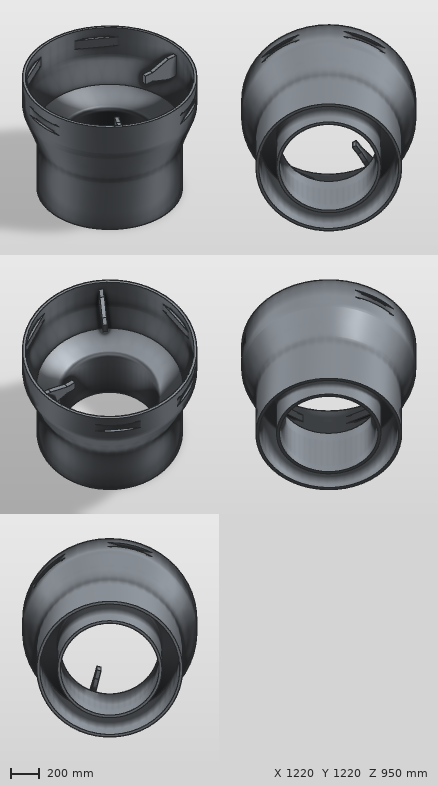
import cadquery as cq
import math

total_height = 950.0
rim_radius = 610.0
base_radius = 510.0
wall = 20.1
shell_slope = 20.0
inside_bend_radius = 137.0
lower_bend_start = 396.0

place_angle = 60.0
dent_places = [0, 2, 3, 4]
fin_places = [1, 5]
dent_half_angle = 15.0
dent_bottom = 799.0
dent_top = 872.0

funnel_tube_diameter = 730.0
funnel_bore_radius = funnel_tube_diameter / 2 - wall
funnel_slope = 28.0
funnel_lip_radius = 45.0
funnel_lip_bottom = 399.0
funnel_edge_radius = 515.0

fin_thickness = 30.0
fin_tip_radius = 311.0
fin_inner_kink = 377.0
fin_outer_kink = 520.0
fin_tip_bottom = 748.0
fin_tip_top = 822.0
fin_root_bottom = 699.0
fin_root_top = dent_top


def polar(center, radius, degrees):
    """Point at an angle around a center in the radius-height plane."""
    angle = math.radians(degrees)
    return (center[0] + radius * math.cos(angle), center[1] + radius * math.sin(angle))


outside_bend_radius = inside_bend_radius + wall
slope = math.radians(shell_slope)
bend_spread = (inside_bend_radius + outside_bend_radius) * (1 - math.cos(slope))
cone_height = (rim_radius - base_radius - bend_spread) / math.tan(slope)
upper_bend_end = (
    lower_bend_start + cone_height + (inside_bend_radius + outside_bend_radius) * math.sin(slope)
)
lower_bend_center = (base_radius + inside_bend_radius, lower_bend_start)
upper_bend_center = (rim_radius - outside_bend_radius, upper_bend_end)


def revolved_shell_surface(inset):
    """Solid of revolution bounded by the shell's outer surface moved inward."""
    lower_radius = inside_bend_radius + inset
    upper_radius = outside_bend_radius - inset
    return (
        cq.Workplane("XZ")
        .moveTo(0, 0)
        .lineTo(base_radius - inset, 0)
        .lineTo(base_radius - inset, lower_bend_start)
        .threePointArc(
            polar(lower_bend_center, lower_radius, 180 - shell_slope / 2),
            polar(lower_bend_center, lower_radius, 180 - shell_slope),
        )
        .lineTo(*polar(upper_bend_center, upper_radius, -shell_slope))
        .threePointArc(
            polar(upper_bend_center, upper_radius, -shell_slope / 2),
            (rim_radius - inset, upper_bend_end),
        )
        .lineTo(rim_radius - inset, total_height)
        .lineTo(0, total_height)
        .close()
        .revolve(360, (0, 0), (0, 1))
    )


def rim_segment(radius, place):
    """Circular segment between the rim cylinder and the chord across a dent."""
    start = polar((0, 0), radius, -dent_half_angle)
    end = polar((0, 0), radius, dent_half_angle)
    return (
        cq.Workplane("XY", origin=(0, 0, dent_bottom))
        .moveTo(*start)
        .threePointArc((radius, 0), end)
        .close()
        .extrude(dent_top - dent_bottom)
        .rotate((0, 0, 0), (0, 0, 1), place * place_angle)
    )


def make_shell(cavity):
    """Thin shell whose wall follows a chord at each dent."""
    shell = revolved_shell_surface(0).cut(cavity)
    for place in dent_places:
        shell = shell.union(rim_segment(rim_radius - wall, place))
        shell = shell.cut(rim_segment(rim_radius, place))
    return shell


def make_funnel(cavity):
    """Sheet funnel with a rounded lip, trimmed to the shell's inner surface."""
    lip_center = (funnel_bore_radius + funnel_lip_radius, funnel_lip_bottom)
    under_radius = funnel_lip_radius - wall
    lip_end_angle = 90 + funnel_slope
    lip_mid_angle = (180 + lip_end_angle) / 2
    top_end = polar(lip_center, funnel_lip_radius, lip_end_angle)
    under_end = polar(lip_center, under_radius, lip_end_angle)
    incline = math.tan(math.radians(funnel_slope))
    edge_top = top_end[1] + (funnel_edge_radius - top_end[0]) * incline
    under_edge_height = under_end[1] + (funnel_edge_radius - under_end[0]) * incline
    funnel = (
        cq.Workplane("XZ")
        .moveTo(funnel_bore_radius, 0)
        .lineTo(funnel_bore_radius, funnel_lip_bottom)
        .threePointArc(polar(lip_center, funnel_lip_radius, lip_mid_angle), top_end)
        .lineTo(funnel_edge_radius, edge_top)
        .lineTo(funnel_edge_radius, under_edge_height)
        .lineTo(*under_end)
        .threePointArc(
            polar(lip_center, under_radius, lip_mid_angle),
            (funnel_tube_diameter / 2, funnel_lip_bottom),
        )
        .lineTo(funnel_tube_diameter / 2, 0)
        .close()
        .revolve(360, (0, 0), (0, 1))
    )
    return funnel.intersect(cavity)


def make_fin(cavity, place):
    """Radial plate that slopes down to a shorter tip, trimmed to the shell's inner surface."""
    return (
        cq.Workplane("XZ")
        .polyline([
            (fin_tip_radius, fin_tip_bottom),
            (fin_inner_kink, fin_tip_bottom),
            (fin_outer_kink, fin_root_bottom),
            (rim_radius, fin_root_bottom),
            (rim_radius, fin_root_top),
            (fin_outer_kink, fin_root_top),
            (fin_inner_kink, fin_tip_top),
            (fin_tip_radius, fin_tip_top),
        ])
        .close()
        .extrude(fin_thickness / 2, both=True)
        .rotate((0, 0, 0), (0, 0, 1), place * place_angle)
        .intersect(cavity)
    )


shell_cavity = revolved_shell_surface(wall)
shell = make_shell(shell_cavity)
funnel = make_funnel(shell_cavity)
fins = [make_fin(shell_cavity, place) for place in fin_places]

result = cq.Compound.makeCompound([shell.val(), funnel.val(), *[fin.val() for fin in fins]])